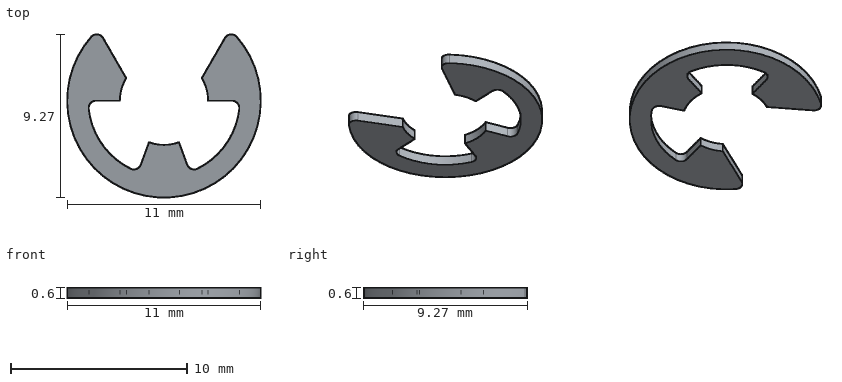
import cadquery as cq
import math

thickness = 0.6
outer_radius = 5.5
shaft_radius = 2.5
window_radius = 4.29
prong_half_angle = 20.0
mouth_half_angle = 30.0
mouth_half_width = 1.4
window_fillet = 0.42
tip_fillet = 0.42

mouth_top = outer_radius
mouth_top_half_width = mouth_half_width + mouth_top * math.tan(math.radians(mouth_half_angle))


def polar(radius, angle):
    """Point at an angle in degrees from +X."""
    a = math.radians(angle)
    return (radius * math.cos(a), radius * math.sin(a))


def relief_window(start_angle, end_angle):
    """Sector from the shaft axis, with its two outer corners rounded."""
    middle_angle = (start_angle + end_angle) / 2
    sector = (
        cq.Workplane("XY")
        .lineTo(*polar(window_radius, start_angle))
        .threePointArc(polar(window_radius, middle_angle), polar(window_radius, end_angle))
        .close()
        .extrude(thickness)
    )
    axis_midpoint = (0, 0, thickness / 2)
    outer_corners = sector.edges(
        cq.StringSyntaxSelector("|Z") - cq.NearestToPointSelector(axis_midpoint)
    )
    return outer_corners.fillet(window_fillet)


mouth = (
    cq.Workplane("XY")
    .polyline([
        (-mouth_half_width, 0),
        (mouth_half_width, 0),
        (mouth_top_half_width, mouth_top),
        (-mouth_top_half_width, mouth_top),
    ])
    .close()
    .extrude(thickness)
)

body = cq.Workplane("XY").circle(outer_radius).extrude(thickness).cut(mouth)
body = body.edges("|Z").edges(">Y").fillet(tip_fillet)

shaft = cq.Workplane("XY").circle(shaft_radius).extrude(thickness)
left_window = relief_window(180, 270 - prong_half_angle)
right_window = relief_window(270 + prong_half_angle, 360)
result = body.cut(shaft).cut(left_window).cut(right_window)